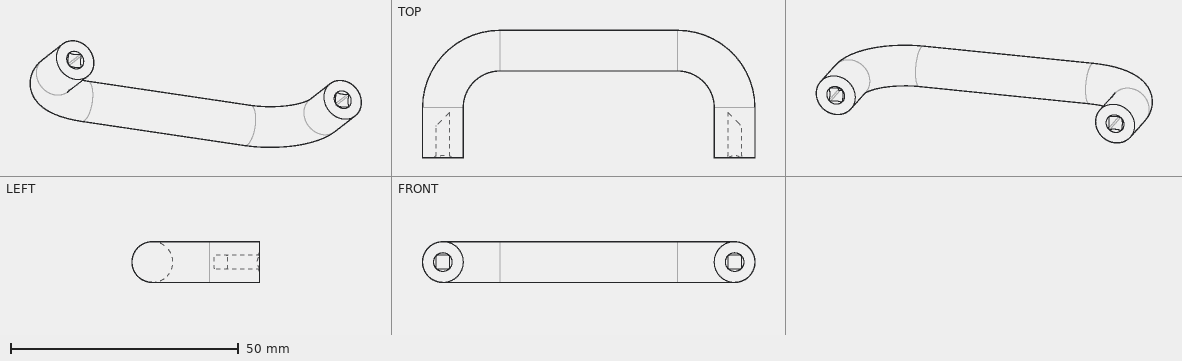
import cadquery as cq

overall_length = 73.0
overall_depth = 28.0
bar_diameter = 9.0
inner_bend_radius = 8.0
socket_width = 3.0
socket_corner_radius = 0.3
socket_depth = 10.0
mouth_diameter = 4.1

bar_radius = bar_diameter / 2
bend_radius = inner_bend_radius + bar_radius
leg_x = overall_length / 2 - bar_radius
grip_y = overall_depth - bar_radius
bend_start_x = leg_x - bend_radius
bend_start_y = grip_y - bend_radius


def make_bar():
    """Sweep the round section along leg, bend, grip, bend and leg."""
    centreline = (
        cq.Workplane("XY")
        .moveTo(-leg_x, 0)
        .lineTo(-leg_x, bend_start_y)
        .radiusArc((-bend_start_x, grip_y), bend_radius)
        .lineTo(bend_start_x, grip_y)
        .radiusArc((leg_x, bend_start_y), bend_radius)
        .lineTo(leg_x, 0)
    )
    section = cq.Workplane("XZ", origin=(-leg_x, 0, 0)).circle(bar_radius)
    return section.sweep(centreline)


def make_left_socket():
    """Square socket in the -X leg: 45 degree end face, deepest toward +X, and a countersunk mouth."""
    half_width = socket_width / 2
    shaft = (
        cq.Workplane("XY", origin=(-leg_x, 0, -half_width))
        .moveTo(-half_width, 0)
        .lineTo(half_width, 0)
        .lineTo(half_width, socket_depth)
        .lineTo(-half_width, socket_depth - socket_width)
        .close()
        .extrude(socket_width)
        .edges("|Y")
        .fillet(socket_corner_radius)
    )
    mouth_radius = mouth_diameter / 2
    leg_end = cq.Vector(-leg_x, 0, 0)
    countersink = cq.Solid.makeCone(mouth_radius, 0, mouth_radius, pnt=leg_end, dir=cq.Vector(0, 1, 0))
    return shaft.union(cq.Workplane(countersink))


left_socket = make_left_socket()
right_socket = left_socket.mirror("YZ")
result = make_bar().cut(left_socket).cut(right_socket)